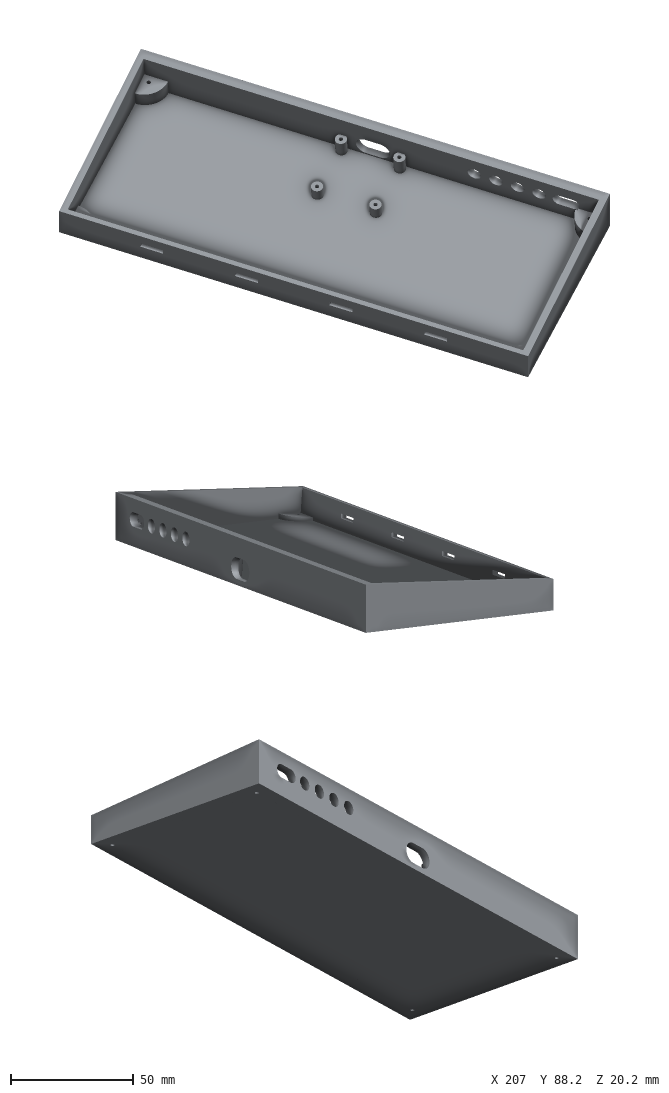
import cadquery as cq
import math

length = 207.03
depth = 88.24
back_height = 20.15
tilt = 4.54
slope = math.radians(tilt)
front_height = back_height - depth * math.tan(slope)

side_wall = 3.0
floor = 1.5
cavity_length = length - 2 * side_wall
cavity_width = 82.0
cavity_front = 2.1
cavity_back = cavity_front + cavity_width

corner_radius = 10.4
corner_drop = 10.5
screw_hole_diameter = 1.77
corner_hole_inset = 3.18

post_diameter = 5.0
post_drop = 10.2
post_spacing = 25.8
front_post_row = 56.2

opening_drop = 8.75
round_hole_diameter = 6.0
round_hole_count = 4
round_hole_pitch = 9.525
first_round_hole_x = 45.23
cable_slot_x = 85.73
cable_slot_length = 12.0

port_x = 0.3
port_length = 15.0
port_height = 9.0
port_drop = 13.08

front_slot_length = 10.09
front_slot_height = 2.0
front_slot_z = 7.65
front_slot_pitch = 41.77
front_slot_count = 4
front_slot_cut = 6.0

reach = 2 * back_height
inside_back_wall = cavity_back - 1.0


def point_below_top(x, along, drop):
    """Point at a distance up the slope from the front top edge and a depth square to the slope."""
    y = along * math.cos(slope) + drop * math.sin(slope)
    z = front_height + along * math.sin(slope) - drop * math.cos(slope)
    return (x, y, z)


def facing_top(x, along, drop):
    """Workplane parallel to the sloped top."""
    normal = (0, -math.sin(slope), math.cos(slope))
    return cq.Workplane(cq.Plane(point_below_top(x, along, drop), (1, 0, 0), normal))


def facing_back(x, drop):
    """Workplane just inside the back wall, facing up the slope."""
    normal = (0, math.cos(slope), math.sin(slope))
    return cq.Workplane(cq.Plane(point_below_top(x, inside_back_wall, drop), (-1, 0, 0), normal))


def pillar(x, along, drop, diameter):
    """Cylinder square to the slope, running down from a depth below the sloped top."""
    return facing_top(x, along, drop).circle(diameter / 2).extrude(-reach)


def corner_places(inset):
    """X and slope positions set in from the four cavity corners."""
    x = cavity_length / 2 - inset
    return [(side * x, along) for side in (-1, 1) for along in (cavity_front + inset, cavity_back - inset)]


def make_wedge():
    profile = [(0, 0), (depth, 0), (depth, back_height), (0, front_height)]
    return cq.Workplane("YZ").polyline(profile).close().extrude(length / 2, both=True)


def make_cavity():
    mid_cavity = cavity_front + cavity_width / 2
    block = facing_top(0, mid_cavity, 0).rect(cavity_length, cavity_width).extrude(reach, both=True)
    above_floor = cq.Workplane("XY", origin=(0, depth / 2, floor)).rect(length, 2 * depth).extrude(reach)
    return block.intersect(above_floor)


def add_corner_supports(body, cavity):
    for x, along in corner_places(0):
        body = body.union(pillar(x, along, corner_drop, 2 * corner_radius).intersect(cavity))
    for x, along in corner_places(corner_hole_inset):
        body = body.cut(pillar(x, along, 0, screw_hole_diameter))
    return body


def add_posts(body, cavity):
    for x in (-post_spacing / 2, post_spacing / 2):
        for along in (front_post_row, front_post_row + post_spacing):
            post = pillar(x, along, post_drop, post_diameter)
            hole = pillar(x, along, post_drop, screw_hole_diameter)
            body = body.union(post.cut(hole).intersect(cavity))
    return body


def cut_back_openings(body):
    for i in range(round_hole_count):
        x = first_round_hole_x + i * round_hole_pitch
        body = body.cut(facing_back(x, opening_drop).circle(round_hole_diameter / 2).extrude(reach))
    cable_slot = facing_back(cable_slot_x, opening_drop).slot2D(cable_slot_length, round_hole_diameter)
    port = facing_back(port_x, port_drop).slot2D(port_length, port_height)
    return body.cut(cable_slot.extrude(reach)).cut(port.extrude(reach))


def cut_front_slots(body):
    for i in range(front_slot_count):
        x = (i - (front_slot_count - 1) / 2) * front_slot_pitch
        slot = cq.Workplane("XY").box(front_slot_length, 2 * front_slot_cut, front_slot_height)
        body = body.cut(slot.translate((x, 0, front_slot_z)))
    return body


cavity = make_cavity()
body = make_wedge().cut(cavity)
body = add_corner_supports(body, cavity)
body = add_posts(body, cavity)
body = cut_back_openings(body)
body = cut_front_slots(body)

result = body